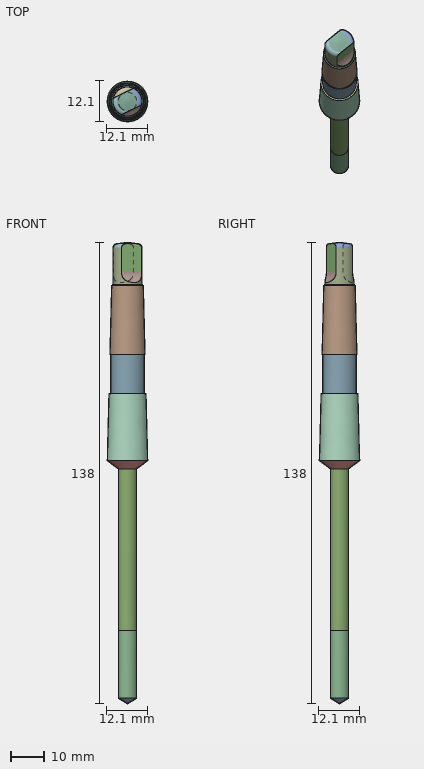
import cadquery as cq
import math

tip_body_top = 22.0
stem_top = 70.2
shoulder_top = 72.7
lower_taper_top = 92.7
relief_top = 104.5
upper_taper_top = 125.0
tang_foot = 125.5
tang_rim_height = 137.6
overall_length = 138.0

drill_diameter = 5.5
shank_large_diameter = 12.1
relief_diameter = 10.1
tang_diameter = 8.7

point_angle = 118.0
taper_ratio = 0.05

tang_edge_round = 1.2
flat_to_flat = 5.5
flat_angle = 26.0
flat_bottom = 129.0
runout_radius = 3.7


def taper_radius(height):
    """Radius of the shank taper at a given height."""
    return (shank_large_diameter - taper_ratio * (height - shoulder_top)) / 2


def make_drill_tip():
    """Straight cylinder with a conical point."""
    radius = drill_diameter / 2
    point_height = radius / math.tan(math.radians(point_angle / 2))
    return (
        cq.Workplane("XZ")
        .polyline([(0, 0), (radius, point_height), (radius, tip_body_top), (0, tip_body_top)])
        .close()
        .revolve(360, (0, 0), (0, 1))
    )


def make_shank_blank():
    """Turned shank: stem, shoulder, relieved taper and round tang."""
    stem_radius = drill_diameter / 2
    relief_radius = relief_diameter / 2
    tang_radius = tang_diameter / 2
    arc_offset = tang_edge_round * math.sqrt(0.5)
    arc_center_radius = tang_radius - tang_edge_round
    arc_center_height = tang_rim_height - tang_edge_round
    return (
        cq.Workplane("XZ")
        .moveTo(0, tip_body_top)
        .lineTo(stem_radius, tip_body_top)
        .lineTo(stem_radius, stem_top)
        .lineTo(taper_radius(shoulder_top), shoulder_top)
        .lineTo(taper_radius(lower_taper_top), lower_taper_top)
        .lineTo(relief_radius, lower_taper_top)
        .lineTo(relief_radius, relief_top)
        .lineTo(taper_radius(relief_top), relief_top)
        .lineTo(taper_radius(upper_taper_top), upper_taper_top)
        .lineTo(tang_radius, tang_foot)
        .lineTo(tang_radius, arc_center_height)
        .threePointArc(
            (arc_center_radius + arc_offset, arc_center_height + arc_offset),
            (arc_center_radius, tang_rim_height),
        )
        .lineTo(0, overall_length)
        .close()
        .revolve(360, (0, 0), (0, 1))
    )


def make_flat_cutter():
    """Cutter for one tang flat, with a quarter-round run-out at its lower end."""
    flat_offset = flat_to_flat / 2
    arc_offset = runout_radius * math.sqrt(0.5)
    arc_center = flat_offset + runout_radius
    return (
        cq.Workplane("YZ")
        .moveTo(flat_offset, overall_length)
        .lineTo(flat_offset, flat_bottom)
        .threePointArc(
            (arc_center - arc_offset, flat_bottom - arc_offset),
            (arc_center, flat_bottom - runout_radius),
        )
        .lineTo(arc_center, overall_length)
        .close()
        .extrude(shank_large_diameter / 2, both=True)
    )


def make_shank():
    """Shank blank with two opposite flats cut on the tang."""
    shank = make_shank_blank()
    flat_cutter = make_flat_cutter()
    for turn in (0, 180):
        shank = shank.cut(flat_cutter.rotate((0, 0, 0), (0, 0, 1), flat_angle + turn))
    return shank


drill_tip = make_drill_tip()
shank = make_shank()

result = cq.Compound.makeCompound([drill_tip.val(), shank.val()])